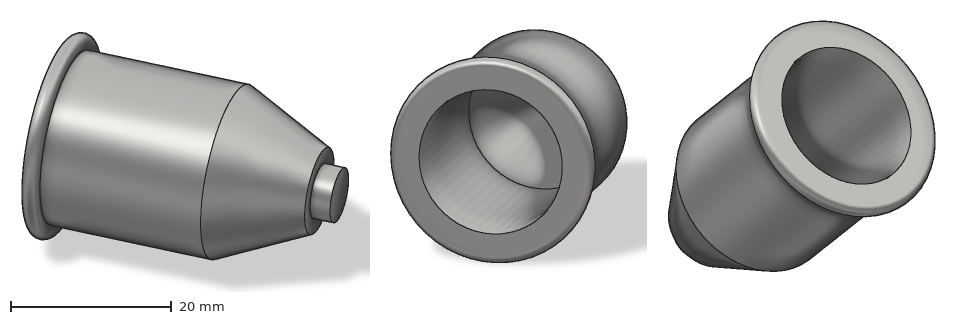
import cadquery as cq

total_length = 37.5
rim_thickness = 2.0
shoulder_x = 23.15
spigot_length = 2.62
cone_end_x = total_length - spigot_length

rim_diameter = 26.3
body_diameter = 22.3
cone_end_diameter = 11.1
spigot_diameter = 7.0
bore_diameter = 18.5

bore_tip_x = cone_end_x

rim_round_radius = rim_thickness / 2
rim_flat_radius = rim_diameter / 2 - rim_round_radius


def outer_body():
    """Solid of revolution about X: rim, barrel, tapered nose and spigot."""
    return (
        cq.Workplane("XY")
        .lineTo(0, rim_flat_radius)
        .threePointArc((rim_round_radius, rim_diameter / 2), (rim_thickness, rim_flat_radius))
        .lineTo(rim_thickness, body_diameter / 2)
        .lineTo(shoulder_x, body_diameter / 2)
        .lineTo(cone_end_x, cone_end_diameter / 2)
        .lineTo(cone_end_x, spigot_diameter / 2)
        .lineTo(total_length, spigot_diameter / 2)
        .lineTo(total_length, 0)
        .close()
        .revolve(360, (0, 0, 0), (1, 0, 0))
    )


def bore():
    """Straight bore from the rim face with a conical bottom."""
    return (
        cq.Workplane("XY")
        .lineTo(0, bore_diameter / 2)
        .lineTo(shoulder_x, bore_diameter / 2)
        .lineTo(bore_tip_x, 0)
        .close()
        .revolve(360, (0, 0, 0), (1, 0, 0))
    )


result = outer_body().cut(bore())